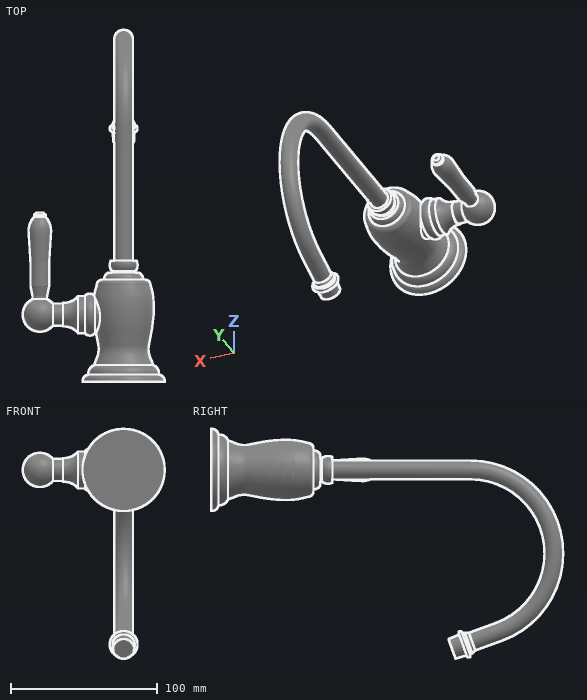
import cadquery as cq
import math


base_radius = 28.0
lower_step_radius = 24.3
upper_step_radius = 20.2
waist_radius = 17.0
belly_radius = 20.7
shoulder_radius = 18.5
cap_radius = 13.5
collar_neck_radius = 8.2
collar_radius = 9.5
lower_step_height = 5.0
upper_step_height = 11.5
cove_radius = 19.5
cove_height = 13.7
waist_height = 22.8
belly_height = 48.0
shoulder_height = 65.8
shoulder_top_radius = 14.5
shoulder_top = 70.0
cap_top_radius = 10.5
cap_top = 74.5
collar_bottom = 75.7
collar_top_radius = 9.0
collar_top = 82.5

tube_radius = 6.5
tube_start = collar_top - 2.5
overall_length = 240.2
bend_radius = 57.0
bend_start = overall_length - tube_radius - bend_radius
outlet_angle = math.radians(20.0)
outlet_length = 34.0

nozzle_length = 14.6
nozzle_end_radius = 7.2
nozzle_ring_radius = 9.5
nozzle_ring_edge_radius = 8.6
nozzle_ring_center = 9.1
nozzle_ring_width = 2.5
nozzle_body_radius = 7.7
nozzle_flare_start = 12.0

arm_height = 45.9
arm_radius = 7.7
ball_radius = 11.8
ball_offset = 57.2
flare_radius = 12.7
flare_neck_radius = 8.2
arm_root_radius = 12.7
arm_ring_radius = 14.5
arm_ring_start = 19.7
arm_ring_end = 26.5
flare_start = 31.0
flare_end = 41.3

handle_neck_radius = 5.0
grip_radius = 6.5
grip_bulge_radius = 7.7
button_radius = 4.0
button_tip_radius = 2.2
handle_neck_top = 58.4
grip_flare_radius = 6.0
grip_flare_height = 63.2
grip_start = 65.3
grip_straight_end = 81.7
grip_bulge_height = 100.9
button_bottom = 112.5
button_top = 113.8
handle_top = 115.5


def revolve_about_y(profile):
    return profile.close().revolve(360, (0, 0, 0), (0, 1, 0))


def make_body():
    profile = (
        cq.Workplane("XY")
        .lineTo(base_radius, 0)
        .threePointArc((27.0, 3.5), (lower_step_radius, lower_step_height))
        .threePointArc((23.3, 9.0), (upper_step_radius, upper_step_height))
        .lineTo(cove_radius, cove_height)
        .spline(
            [
                (17.5, 18.7),
                (waist_radius, waist_height),
                (17.8, 27.4),
                (belly_radius, belly_height),
                (shoulder_radius, shoulder_height),
            ],
            includeCurrent=True,
        )
        .threePointArc((17.5, 68.5), (shoulder_top_radius, shoulder_top))
        .lineTo(cap_radius, shoulder_top)
        .threePointArc((12.5, 72.8), (cap_top_radius, cap_top))
        .lineTo(collar_neck_radius, cap_top)
        .lineTo(collar_neck_radius, collar_bottom)
        .threePointArc((collar_radius, 79.3), (collar_top_radius, collar_top))
        .lineTo(0, collar_top)
    )
    return revolve_about_y(profile)


def make_spout():
    bend_sweep = math.pi - outlet_angle

    def bend_point(angle):
        y = bend_start + bend_radius * math.sin(angle)
        z = bend_radius * (math.cos(angle) - 1)
        return (y, z)

    bend_end = bend_point(bend_sweep)
    outlet_end = (
        bend_end[0] - outlet_length * math.cos(outlet_angle),
        bend_end[1] - outlet_length * math.sin(outlet_angle),
    )
    path = (
        cq.Workplane("YZ")
        .moveTo(tube_start, 0)
        .lineTo(bend_start, 0)
        .threePointArc(bend_point(bend_sweep / 2), bend_end)
        .lineTo(*outlet_end)
    )
    tube = (
        cq.Workplane("XZ", origin=(0, tube_start, 0))
        .circle(tube_radius)
        .sweep(path)
    )
    ring_front = nozzle_ring_center - nozzle_ring_width / 2
    ring_back = nozzle_ring_center + nozzle_ring_width / 2
    nozzle = revolve_about_y(
        cq.Workplane("XY")
        .lineTo(nozzle_end_radius, 0)
        .lineTo(nozzle_body_radius, ring_front)
        .lineTo(nozzle_ring_edge_radius, ring_front)
        .threePointArc((nozzle_ring_radius, nozzle_ring_center), (nozzle_ring_edge_radius, ring_back))
        .lineTo(nozzle_body_radius, ring_back)
        .lineTo(nozzle_body_radius, nozzle_flare_start)
        .lineTo(tube_radius, nozzle_length)
        .lineTo(0, nozzle_length)
    )
    nozzle = nozzle.rotate((0, 0, 0), (1, 0, 0), math.degrees(outlet_angle))
    return tube.union(nozzle.translate((0, *outlet_end)))


def make_arm():
    arm_ring_center = (arm_ring_start + arm_ring_end) / 2
    turning = (
        cq.Workplane("XY")
        .lineTo(0, arm_root_radius)
        .lineTo(-arm_ring_start, arm_root_radius)
        .threePointArc((-arm_ring_center, arm_ring_radius), (-arm_ring_end, flare_radius))
        .lineTo(-flare_start, flare_radius)
        .threePointArc((-35.3, 9.4), (-flare_end, flare_neck_radius))
        .lineTo(-flare_end, arm_radius)
        .lineTo(-ball_offset, arm_radius)
        .lineTo(-ball_offset, 0)
        .close()
        .revolve(360, (0, 0, 0), (1, 0, 0))
    )
    ball = cq.Workplane("XY").sphere(ball_radius).translate((-ball_offset, 0, 0))
    return turning.union(ball).translate((0, arm_height, 0))


def make_handle():
    profile = (
        cq.Workplane("XY")
        .moveTo(0, arm_height)
        .lineTo(handle_neck_radius, arm_height)
        .lineTo(handle_neck_radius, handle_neck_top)
        .lineTo(grip_flare_radius, grip_flare_height)
        .lineTo(grip_radius, grip_start)
        .lineTo(grip_radius, grip_straight_end)
        .spline([(7.0, 92.5), (grip_bulge_radius, grip_bulge_height)], includeCurrent=True)
        .threePointArc((6.7, 108.3), (button_radius, button_bottom))
        .lineTo(button_radius, button_top)
        .lineTo(button_tip_radius, handle_top)
        .lineTo(0, handle_top)
    )
    return revolve_about_y(profile).translate((-ball_offset, 0, 0))


result = make_body().union(make_spout()).union(make_arm()).union(make_handle())